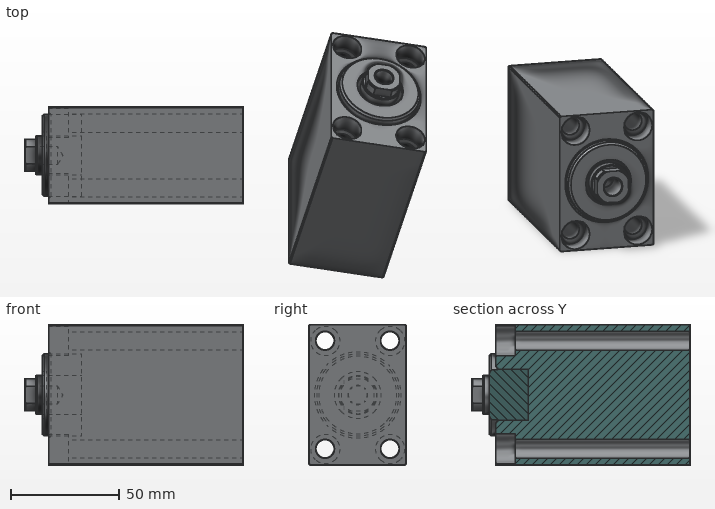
import cadquery as cq


housing_length = 90.0
housing_width = 45.0
housing_height = 65.0
edge_chamfer = 0.6

screw_spacing_y = 30.0
screw_spacing_z = 50.0
screw_hole_diameter = 8.5
screw_head_diameter = 13.5
screw_head_depth = 9.0

gland_diameter = 38.0
gland_chamfer = 1.0
gland_projection = 3.0
gland_insertion = 15.0
bore_mouth_chamfer = 1.0
wiper_recess_diameter = 21.7
wiper_recess_depth = 2.0

rod_diameter = 18.0
rod_inner_end = gland_insertion
rod_shoulder_projection = 6.0
rod_shoulder_chamfer_length = 0.75
rod_shoulder_chamfer_depth = 0.3
tip_projection = 11.0
tip_diameter = 17.0
tip_chamfer = 0.5
tip_across_flats = 15.0

thread_hole_diameter = 8.5
thread_hole_depth = 15.0
thread_mouth_diameter = 9.1
thread_mouth_depth = (thread_mouth_diameter - thread_hole_diameter) / 2
drill_cone_depth = 2.5


def revolve_about_x(profile):
    """Turn a closed (x, radius) outline about the X axis."""
    return cq.Workplane("XY").polyline(profile).close().revolve(360, (0, 0, 0), (1, 0, 0))


def cylinder_along_x(diameter, x_start, x_end):
    return cq.Workplane("YZ").workplane(offset=x_start).circle(diameter / 2).extrude(x_end - x_start)


def make_housing():
    block = cq.Workplane("YZ").rect(housing_width, housing_height).extrude(housing_length)
    block = block.edges("|X").chamfer(edge_chamfer)

    bore_radius = gland_diameter / 2
    bore = revolve_about_x([
        (0, 0),
        (0, bore_radius + bore_mouth_chamfer),
        (bore_mouth_chamfer, bore_radius),
        (gland_insertion, bore_radius),
        (gland_insertion, 0),
    ])
    block = block.cut(bore)

    for side_y in (-1, 1):
        for side_z in (-1, 1):
            place = (0, side_y * screw_spacing_y / 2, side_z * screw_spacing_z / 2)
            shank = cylinder_along_x(screw_hole_diameter, 0, housing_length)
            head = cylinder_along_x(screw_head_diameter, 0, screw_head_depth)
            block = block.cut(shank.union(head).translate(place))
    return block


def make_gland():
    outer_radius = gland_diameter / 2
    rod_radius = rod_diameter / 2
    recess_radius = wiper_recess_diameter / 2
    face = -gland_projection
    recess_floor = face + wiper_recess_depth
    return revolve_about_x([
        (face, recess_radius),
        (face, outer_radius - gland_chamfer),
        (face + gland_chamfer, outer_radius),
        (gland_insertion, outer_radius),
        (gland_insertion, rod_radius),
        (recess_floor, rod_radius),
        (recess_floor, recess_radius),
    ])


def make_rod():
    shoulder = -rod_shoulder_projection
    tip = -tip_projection

    rod_radius = rod_diameter / 2
    shaft = revolve_about_x([
        (rod_inner_end, 0),
        (rod_inner_end, rod_radius),
        (shoulder + rod_shoulder_chamfer_length, rod_radius),
        (shoulder, rod_radius - rod_shoulder_chamfer_depth),
        (shoulder, 0),
    ])

    round_tip = cylinder_along_x(tip_diameter, tip, shoulder).faces("<X").chamfer(tip_chamfer)
    square = (
        cq.Workplane("YZ").workplane(offset=tip)
        .rect(tip_across_flats, tip_across_flats)
        .extrude(shoulder - tip)
    )
    rod = shaft.union(round_tip.intersect(square))

    hole_radius = thread_hole_diameter / 2
    hole_floor = tip + thread_hole_depth
    hole = revolve_about_x([
        (tip, 0),
        (tip, thread_mouth_diameter / 2),
        (tip + thread_mouth_depth, hole_radius),
        (hole_floor, hole_radius),
        (hole_floor + drill_cone_depth, 0),
    ])
    return rod.cut(hole)


housing = make_housing()
gland = make_gland()
rod = make_rod()

result = cq.Compound.makeCompound([housing.val(), gland.val(), rod.val()])